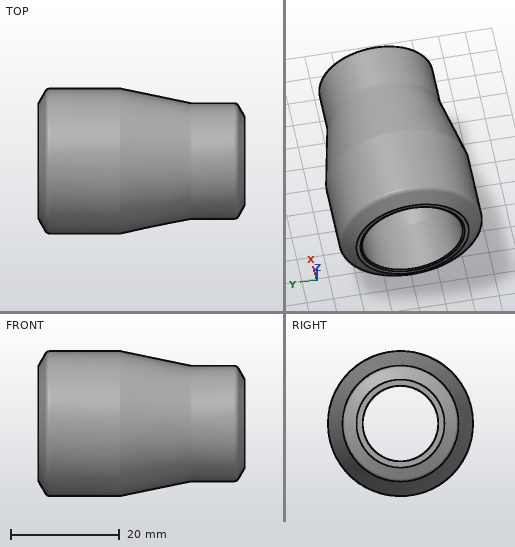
import cadquery as cq
import math

length = 38.0
large_diameter = 26.7
large_bore_diameter = 18.9
small_diameter = 21.3
small_bore_diameter = 13.85
taper_start = 15.05
taper_end = 28.05
bore_taper_start = 10.0

bevel_angle = 60.0
large_face_radius = 10.53
small_face_radius = 8.1
edge_radius = 1.0

lead_in_radius = 9.75
lead_in_depth = 0.2

large_radius = large_diameter / 2
small_radius = small_diameter / 2
large_bore_radius = large_bore_diameter / 2
small_bore_radius = small_bore_diameter / 2


def bevel_length(outer_radius, face_radius):
    """Axial length of a bevel, before its outer edge is rounded."""
    return (outer_radius - face_radius) / math.tan(math.radians(bevel_angle))


def revolve_about_x(points):
    """Turn a closed (x, radius) outline about the X axis."""
    return cq.Workplane("XY").polyline(points).close().revolve(360, (0, 0, 0), (1, 0, 0))


def circle_at(x, radius):
    """Select the circular edge of the given radius in the plane at x."""
    margin = 0.05
    return cq.selectors.BoxSelector(
        (x - margin, -radius - margin, -radius - margin),
        (x + margin, radius + margin, radius + margin),
        boundingbox=True,
    )


def make_body():
    """Solid outside shape: two bevelled cylinders joined by a cone, with rounded edges."""
    rounded_circles = [
        (bevel_length(large_radius, large_face_radius), large_radius),
        (taper_start, large_radius),
        (taper_end, small_radius),
        (length - bevel_length(small_radius, small_face_radius), small_radius),
    ]
    body = revolve_about_x([
        (0, 0),
        (0, large_face_radius),
        *rounded_circles,
        (length, small_face_radius),
        (length, 0),
    ])
    for x, radius in rounded_circles:
        body = body.edges(circle_at(x, radius)).fillet(edge_radius)
    return body


def make_bore():
    """Through passage: lead-in, large bore, conical transition and small bore."""
    return revolve_about_x([
        (0, 0),
        (0, lead_in_radius),
        (lead_in_depth, large_bore_radius),
        (bore_taper_start, large_bore_radius),
        (taper_end, small_bore_radius),
        (length, small_bore_radius),
        (length, 0),
    ])


result = make_body().cut(make_bore())